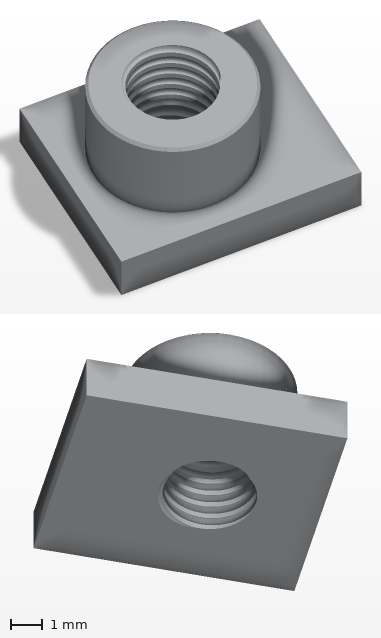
import cadquery as cq
import math

PLATE_WIDTH = 7.23
PLATE_LENGTH = 8.5
PLATE_THICKNESS = 1.6

NUT_OFFSET_Y = -0.63
TOTAL_HEIGHT = 4.61
SEAT_GAP = 0.01
COLLAR_DIAMETER = 5.56
COLLAR_CHAMFER = 0.1
SPIGOT_DIAMETER = 4.3
BORE_DIAMETER = 3.01

THREAD_PITCH = 0.5
GROOVE_RADIUS = 0.15
GROOVE_OVERLAP = 0.04
THREAD_TURNS = 11

HALF_TURN = 180
COLLAR_HEIGHT = TOTAL_HEIGHT - PLATE_THICKNESS - SEAT_GAP
BORE_RADIUS = BORE_DIAMETER / 2


def make_plate():
    """Rectangular plate on z = 0 with a through hole that fits the nut's spigot."""
    return (
        cq.Workplane("XY")
        .box(PLATE_WIDTH, PLATE_LENGTH, PLATE_THICKNESS, centered=(True, True, False))
        .faces(">Z")
        .workplane(origin=(0, NUT_OFFSET_Y, PLATE_THICKNESS))
        .hole(SPIGOT_DIAMETER)
    )


def make_thread_groove():
    """Right-hand helical cutter on the Z axis; its centre line crosses the nut's top face on the -X side."""
    start_z = TOTAL_HEIGHT - (THREAD_TURNS - 0.5) * THREAD_PITCH
    half_mouth = math.sqrt(GROOVE_RADIUS**2 - GROOVE_OVERLAP**2)
    helix = cq.Wire.makeHelix(
        THREAD_PITCH, THREAD_TURNS * THREAD_PITCH, BORE_RADIUS, cq.Vector(0, 0, start_z)
    )
    return (
        cq.Workplane("XZ")
        .moveTo(BORE_RADIUS - GROOVE_OVERLAP, start_z - half_mouth)
        .threePointArc(
            (BORE_RADIUS + GROOVE_RADIUS, start_z),
            (BORE_RADIUS - GROOVE_OVERLAP, start_z + half_mouth),
        )
        .close()
        .sweep(cq.Workplane(obj=helix), isFrenet=True)
    )


def make_nut():
    """Round collar above the plate, spigot filling the plate's hole, threaded bore through both."""
    spigot = cq.Workplane("XY").circle(SPIGOT_DIAMETER / 2).extrude(TOTAL_HEIGHT - COLLAR_HEIGHT)
    collar = (
        cq.Workplane("XY", origin=(0, 0, TOTAL_HEIGHT - COLLAR_HEIGHT))
        .circle(COLLAR_DIAMETER / 2)
        .extrude(COLLAR_HEIGHT)
        .faces(">Z")
        .chamfer(COLLAR_CHAMFER)
    )
    bore = cq.Workplane("XY").circle(BORE_RADIUS).extrude(TOTAL_HEIGHT)
    blank = spigot.union(collar).cut(bore).rotate((0, 0, 0), (0, 0, 1), HALF_TURN)
    nut = blank.cut(make_thread_groove())
    return nut.translate((0, NUT_OFFSET_Y, 0))


plate = make_plate()
nut = make_nut()

result = cq.Compound.makeCompound([plate.val(), nut.val()])